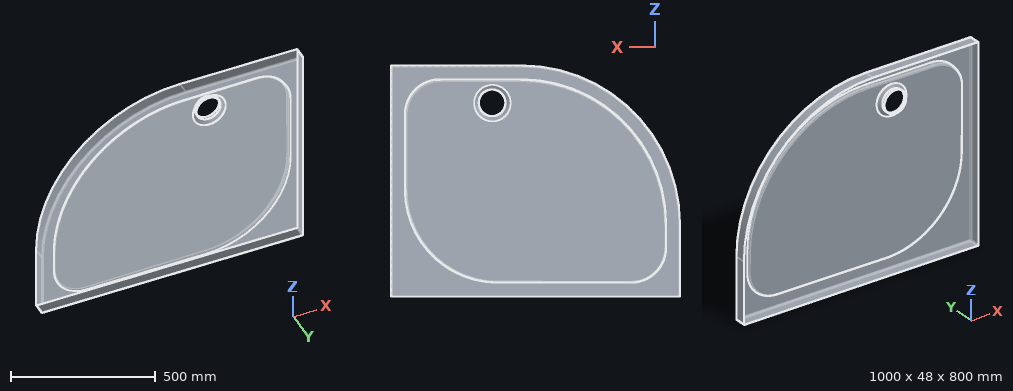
import cadquery as cq
import math

WIDTH = 1000.0
LENGTH = 800.0
HEIGHT = 48.0
SHEET = 2.0
ENTRY_RADIUS = 550.0
CORNER_RADIUS = 5.0
RIM_RADIUS = 5.0

PAN_INSET = 50.0
PAN_CORNER_RADIUS = 120.0
PAN_SWEEP_RADIUS = 320.0
PAN_FLOOR_RADIUS = 4.0
PAN_DRAFT = 5.0
PAN_DEPTH = 14.5
FLOOR_SLOPE = 0.8

DRAIN_X = 650.0
DRAIN_Z = 670.0
DRAIN_HOLE_RADIUS = 45.0
DRAIN_BASE_RADIUS = 63.0
DRAIN_TIP_RADIUS = DRAIN_HOLE_RADIUS + SHEET
DRAIN_DROP = 9.5
DRAIN_STUB = 11.0
DRAIN_OVERLAP = SHEET / 2

LEVEL_LINE = (1.0, 0.0, -1.0)


def rounded_outline(level, inset, entry, sweep, corner):
    """Plan outline at Y = level with an entry round, a sweep round and two equal corner rounds."""
    low = inset
    right = WIDTH - inset
    top = LENGTH - inset

    def arc_setback(radius):
        """Distance from a square corner to the middle of its round, along either side."""
        return radius * (1 - math.sqrt(0.5))

    return (
        cq.Workplane("XZ", origin=(0, level, 0))
        .moveTo(low, low + corner)
        .lineTo(low, top - entry)
        .threePointArc((low + arc_setback(entry), top - arc_setback(entry)), (low + entry, top))
        .lineTo(right - corner, top)
        .threePointArc(
            (right - arc_setback(corner), top - arc_setback(corner)), (right, top - corner)
        )
        .lineTo(right, low + sweep)
        .threePointArc((right - arc_setback(sweep), low + arc_setback(sweep)), (right - sweep, low))
        .lineTo(low + corner, low)
        .threePointArc((low + arc_setback(corner), low + arc_setback(corner)), (low, low + corner))
        .close()
    )


def skirt_block(offset):
    """Tray block moved inward by offset from the outer surface, open end left at -HEIGHT."""
    corner = CORNER_RADIUS - offset
    outline = rounded_outline(-offset, offset, ENTRY_RADIUS - offset, corner, corner)
    block = outline.extrude(HEIGHT - offset)
    return block.faces(">Y").edges().fillet(RIM_RADIUS - offset)


def floor_cutter(depth):
    """Solid covering everything below the sloping pan floor."""
    size = 2 * (WIDTH + LENGTH)
    cutter = cq.Workplane("XZ").rect(size, size).extrude(HEIGHT)
    cutter = cutter.rotate((0, 0, 0), LEVEL_LINE, FLOOR_SLOPE)
    return cutter.translate((WIDTH / 2, -depth, LENGTH / 2))


def pan_block(grow):
    """Pan volume, grown outward and downward by grow from the tread side surface."""
    outline = rounded_outline(
        -grow,
        PAN_INSET - grow,
        ENTRY_RADIUS - PAN_INSET + grow,
        PAN_SWEEP_RADIUS + grow,
        PAN_CORNER_RADIUS + grow,
    )
    block = outline.extrude(HEIGHT, taper=PAN_DRAFT)
    block = block.cut(floor_cutter(PAN_DEPTH + grow))
    return block.faces("<Y").edges().fillet(PAN_FLOOR_RADIUS + grow)


def drain_floor_level():
    """Y of the underside of the pan floor at the drain centre."""
    along_fall = (DRAIN_X - WIDTH / 2 + DRAIN_Z - LENGTH / 2) / math.sqrt(2)
    return -PAN_DEPTH - SHEET - along_fall * math.tan(math.radians(FLOOR_SLOPE))


def drain_cone(lift, overlap):
    """Outlet cone raised by lift and continued upward by overlap along its flare."""
    flare = (DRAIN_BASE_RADIUS - DRAIN_TIP_RADIUS) / DRAIN_DROP
    start = drain_floor_level() + lift + overlap
    cone = cq.Solid.makeCone(
        DRAIN_BASE_RADIUS + flare * overlap,
        DRAIN_TIP_RADIUS,
        DRAIN_DROP + overlap,
        pnt=cq.Vector(DRAIN_X, start, DRAIN_Z),
        dir=cq.Vector(0, -1, 0),
    )
    return cq.Workplane(obj=cone)


def drain_stub():
    """Short pipe below the cone."""
    level = drain_floor_level() - DRAIN_DROP
    plane = cq.Workplane("XZ", origin=(DRAIN_X, level, DRAIN_Z))
    return plane.circle(DRAIN_TIP_RADIUS).extrude(DRAIN_STUB)


def drain_hole():
    """Straight hole through the whole height."""
    return cq.Workplane("XZ").center(DRAIN_X, DRAIN_Z).circle(DRAIN_HOLE_RADIUS).extrude(HEIGHT)


skirt = skirt_block(0).cut(skirt_block(SHEET))
tray = skirt.union(pan_block(SHEET)).cut(pan_block(0))
tray = tray.union(drain_cone(0, DRAIN_OVERLAP)).union(drain_stub())
tray = tray.cut(drain_cone(SHEET, DRAIN_OVERLAP))
result = tray.cut(drain_hole())